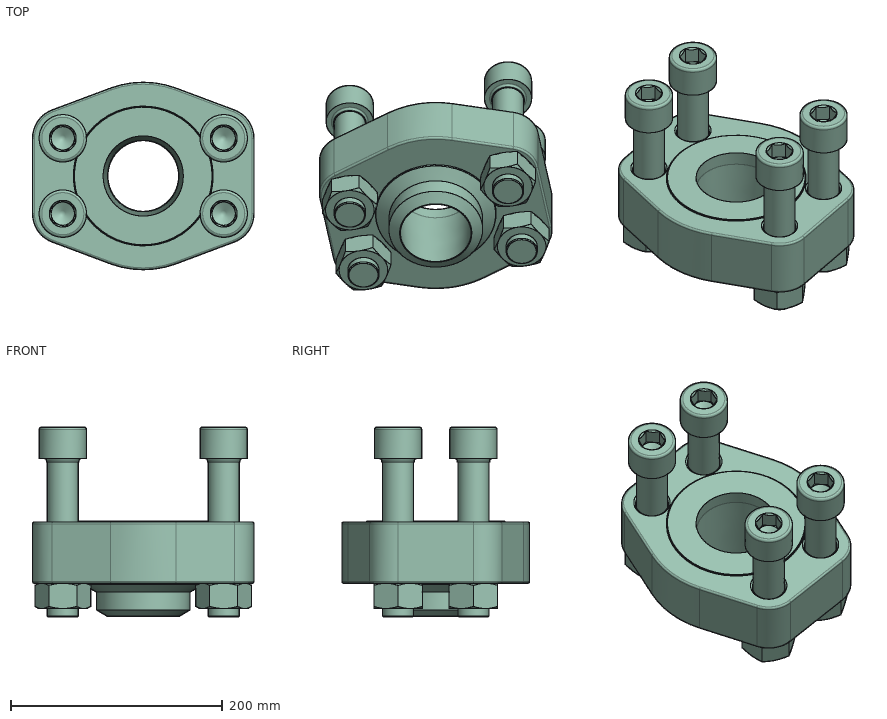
import cadquery as cq
import math


FLANGE_LENGTH = 210.0
FLANGE_WIDTH = 177.9
FLANGE_THICKNESS = 58.2
FLANGE_EDGE_FILLET = 1.9
BOLT_HOLE_DIAMETER = 31.0
BOLT_HOLE_CHAMFER = 1.7

BOLT_SPACING_X = 152.5
BOLT_SPACING_Y = 71.5

RECESS_DIAMETER = 132.5
RECESS_DEPTH = 25.2
NECK_HOLE_DIAMETER = 114.5

COLLAR_DIAMETER = 131.7
COLLAR_RISE = 0.8
COLLAR_CHAMFER = 0.6
NECK_DIAMETER = 113.5
SPIGOT_DIAMETER = 88.8
SPIGOT_TOP_DEPTH = 8.5
SPIGOT_BOTTOM_DEPTH = 31.3
NECK_CONE_ANGLE = 30.0
WELD_BEVEL_HEIGHT = 6.0
WELD_FACE_DIAMETER = 68.5
BORE_DIAMETER = 67.0
COUNTERBORE_DIAMETER = 76.0
COUNTERBORE_DEPTH = 13.6

BOLT_TOTAL_LENGTH = 180.0
BOLT_BOTTOM_DEPTH = 32.0
SHANK_DIAMETER = 29.6
TIP_DIAMETER = 27.7
HEAD_DIAMETER = 45.0
HEAD_HEIGHT = 30.0
HEAD_FILLET = 2.5
NECK_RING_DIAMETER = 31.0
NECK_RING_HEIGHT = 3.0
UNDERHEAD_FILLET = 1.9
SOCKET_ACROSS_FLATS = 22.0
SOCKET_DEPTH = 16.0
SOCKET_POINT_ANGLE = 120.0
SOCKET_TURN = 40.0

NUT_ACROSS_FLATS = 46.0
NUT_HEIGHT = 24.0
NUT_CHAMFER_ANGLE = 30.0

HEXAGON_SIDES = 6

BOLT_X = BOLT_SPACING_X / 2
BOLT_Y = BOLT_SPACING_Y / 2
BOLT_CENTRES = [(sx * BOLT_X, sy * BOLT_Y) for sx in (-1, 1) for sy in (-1, 1)]
RECESS_FLOOR_Z = FLANGE_THICKNESS - RECESS_DEPTH
HUB_TOP_Z = FLANGE_THICKNESS + COLLAR_RISE


def hexagon_corner_diameter(across_flats):
    return across_flats / math.cos(math.pi / HEXAGON_SIDES)


def revolve_profile(points):
    """Revolve a closed (radius, height) outline a full turn about the Z axis."""
    return cq.Workplane("XZ").polyline(points).close().revolve(360, (0, 0, 0), (0, 1, 0))


def flange_outline():
    """Corner arcs around the bolts joined by tangents to arcs around the bore."""
    half_length = FLANGE_LENGTH / 2
    side_radius = FLANGE_WIDTH / 2
    corner_radius = half_length - BOLT_X
    centre_distance = math.hypot(BOLT_X, BOLT_Y)
    tangent_angle = math.atan2(BOLT_Y, BOLT_X) + math.acos((side_radius - corner_radius) / centre_distance)

    def corner_point(angle, sx, sy):
        x = BOLT_X + corner_radius * math.cos(angle)
        y = BOLT_Y + corner_radius * math.sin(angle)
        return (sx * x, sy * y)

    def side_point(sx, sy):
        x = side_radius * math.cos(tangent_angle)
        y = side_radius * math.sin(tangent_angle)
        return (sx * x, sy * y)

    middle_angle = tangent_angle / 2
    return (
        cq.Workplane("XY")
        .moveTo(half_length, -BOLT_Y)
        .lineTo(half_length, BOLT_Y)
        .threePointArc(corner_point(middle_angle, 1, 1), corner_point(tangent_angle, 1, 1))
        .lineTo(*side_point(1, 1))
        .threePointArc((0, side_radius), side_point(-1, 1))
        .lineTo(*corner_point(tangent_angle, -1, 1))
        .threePointArc(corner_point(middle_angle, -1, 1), (-half_length, BOLT_Y))
        .lineTo(-half_length, -BOLT_Y)
        .threePointArc(corner_point(middle_angle, -1, -1), corner_point(tangent_angle, -1, -1))
        .lineTo(*side_point(-1, -1))
        .threePointArc((0, -side_radius), side_point(1, -1))
        .lineTo(*corner_point(tangent_angle, 1, -1))
        .threePointArc(corner_point(middle_angle, 1, -1), (half_length, -BOLT_Y))
        .close()
    )


def bolt_hole_cutter():
    """Through hole with a conical entry at the flange top."""
    radius = BOLT_HOLE_DIAMETER / 2
    return revolve_profile([
        (0, 0),
        (radius, 0),
        (radius, FLANGE_THICKNESS - BOLT_HOLE_CHAMFER),
        (radius + BOLT_HOLE_CHAMFER, FLANGE_THICKNESS),
        (0, FLANGE_THICKNESS),
    ])


def make_flange():
    body = flange_outline().extrude(FLANGE_THICKNESS)
    body = body.faces("<Z or >Z").edges().fillet(FLANGE_EDGE_FILLET)

    neck_hole = cq.Workplane("XY").circle(NECK_HOLE_DIAMETER / 2).extrude(FLANGE_THICKNESS)
    recess = (
        cq.Workplane("XY", origin=(0, 0, RECESS_FLOOR_Z))
        .circle(RECESS_DIAMETER / 2)
        .extrude(RECESS_DEPTH)
    )
    body = body.cut(neck_hole).cut(recess)

    for x, y in BOLT_CENTRES:
        body = body.cut(bolt_hole_cutter().translate((x, y, 0)))
    return body


def make_hub():
    """Turned neck with a tapered bore, its collar resting on the floor of the flange recess."""
    collar_radius = COLLAR_DIAMETER / 2
    neck_radius = NECK_DIAMETER / 2
    spigot_radius = SPIGOT_DIAMETER / 2
    bore_radius = BORE_DIAMETER / 2
    counterbore_radius = COUNTERBORE_DIAMETER / 2

    cone_height = (neck_radius - spigot_radius) * math.tan(math.radians(NECK_CONE_ANGLE))
    counterbore_floor_z = HUB_TOP_Z - COUNTERBORE_DEPTH

    return revolve_profile([
        (bore_radius, -SPIGOT_BOTTOM_DEPTH),
        (WELD_FACE_DIAMETER / 2, -SPIGOT_BOTTOM_DEPTH),
        (spigot_radius, WELD_BEVEL_HEIGHT - SPIGOT_BOTTOM_DEPTH),
        (spigot_radius, -SPIGOT_TOP_DEPTH),
        (neck_radius, cone_height - SPIGOT_TOP_DEPTH),
        (neck_radius, RECESS_FLOOR_Z),
        (collar_radius, RECESS_FLOOR_Z),
        (collar_radius, HUB_TOP_Z - COLLAR_CHAMFER),
        (collar_radius - COLLAR_CHAMFER, HUB_TOP_Z),
        (counterbore_radius, HUB_TOP_Z),
        (counterbore_radius, counterbore_floor_z),
    ])


def socket_cutter(head_top_z):
    """Hexagon socket with a conical entry and a drill point at its bottom."""
    corner_diameter = hexagon_corner_diameter(SOCKET_ACROSS_FLATS)
    flat_radius = SOCKET_ACROSS_FLATS / 2
    corner_radius = corner_diameter / 2
    floor_z = head_top_z - SOCKET_DEPTH
    point_height = flat_radius / math.tan(math.radians(SOCKET_POINT_ANGLE / 2))

    hexagon = (
        cq.Workplane("XY", origin=(0, 0, floor_z))
        .polygon(HEXAGON_SIDES, corner_diameter)
        .extrude(SOCKET_DEPTH)
        .rotate((0, 0, 0), (0, 0, 1), SOCKET_TURN)
    )
    entry = revolve_profile([
        (0, head_top_z),
        (corner_radius, head_top_z),
        (0, head_top_z - corner_radius),
    ])
    drill_point = revolve_profile([
        (0, floor_z),
        (flat_radius, floor_z),
        (0, floor_z - point_height),
    ])
    return hexagon.union(entry).union(drill_point)


def make_bolt(x, y):
    """Socket head cap screw, head up, with a short filleted ring under the head."""
    tip_z = -BOLT_BOTTOM_DEPTH
    head_top_z = tip_z + BOLT_TOTAL_LENGTH
    head_bottom_z = head_top_z - HEAD_HEIGHT
    shank_radius = SHANK_DIAMETER / 2
    tip_radius = TIP_DIAMETER / 2
    ring_radius = NECK_RING_DIAMETER / 2
    head_radius = HEAD_DIAMETER / 2

    arc_point_offset = UNDERHEAD_FILLET * (1 - math.sqrt(0.5))

    profile = (
        cq.Workplane("XZ")
        .moveTo(0, tip_z)
        .lineTo(tip_radius, tip_z)
        .lineTo(shank_radius, tip_z + shank_radius - tip_radius)
        .lineTo(shank_radius, head_bottom_z - NECK_RING_HEIGHT)
        .lineTo(ring_radius, head_bottom_z - NECK_RING_HEIGHT)
        .lineTo(ring_radius, head_bottom_z - UNDERHEAD_FILLET)
        .threePointArc(
            (ring_radius + arc_point_offset, head_bottom_z - arc_point_offset),
            (ring_radius + UNDERHEAD_FILLET, head_bottom_z),
        )
        .lineTo(head_radius, head_bottom_z)
        .lineTo(head_radius, head_top_z)
        .lineTo(0, head_top_z)
        .close()
    )
    body = profile.revolve(360, (0, 0, 0), (0, 1, 0))
    body = body.faces(">Z").edges().fillet(HEAD_FILLET)
    return body.cut(socket_cutter(head_top_z)).translate((x, y, 0))


def make_nut(x, y):
    """Hexagon nut under the flange, its corners chamfered at both ends."""
    corner_diameter = hexagon_corner_diameter(NUT_ACROSS_FLATS)
    flat_radius = NUT_ACROSS_FLATS / 2
    corner_radius = corner_diameter / 2
    chamfer_height = (corner_radius - flat_radius) * math.tan(math.radians(NUT_CHAMFER_ANGLE))

    prism = cq.Workplane("XY").polygon(HEXAGON_SIDES, corner_diameter).extrude(-NUT_HEIGHT)
    chamfer_envelope = revolve_profile([
        (0, 0),
        (flat_radius, 0),
        (corner_radius, -chamfer_height),
        (corner_radius, chamfer_height - NUT_HEIGHT),
        (flat_radius, -NUT_HEIGHT),
        (0, -NUT_HEIGHT),
    ])
    bolt_hole = cq.Workplane("XY").circle(SHANK_DIAMETER / 2).extrude(-NUT_HEIGHT)
    return prism.intersect(chamfer_envelope).cut(bolt_hole).translate((x, y, 0))


flange = make_flange()
hub = make_hub()
bolts = [make_bolt(x, y) for x, y in BOLT_CENTRES]
nuts = [make_nut(x, y) for x, y in BOLT_CENTRES]

result = cq.Compound.makeCompound([
    flange.solids().val(),
    hub.solids().val(),
    *[bolt.solids().val() for bolt in bolts],
    *[nut.solids().val() for nut in nuts],
])